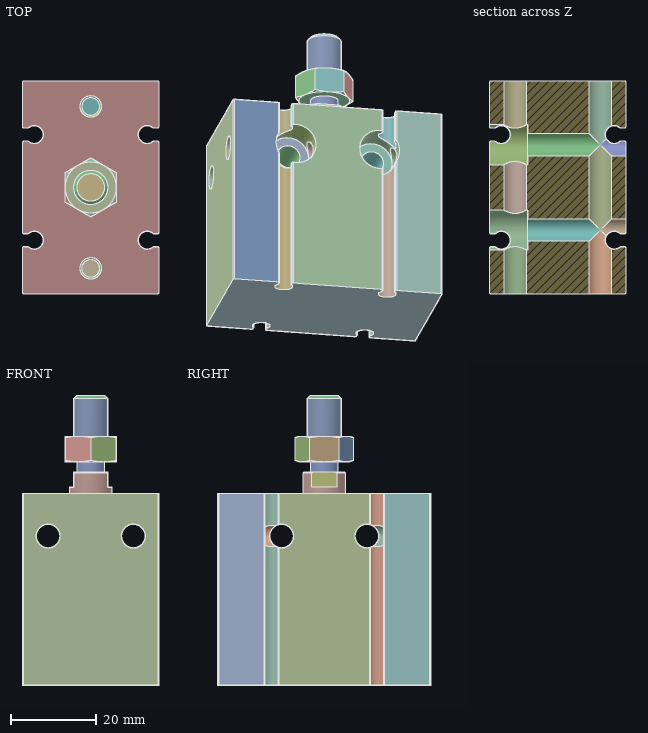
import cadquery as cq
import math

OVERALL_HEIGHT = 68.0

BODY_X = 32.0
BODY_Y = 50.0
BODY_Z = 45.0
EDGE_CHAMFER = 0.3

SLOT_Y = 12.4
SLOT_ROUND_DIA = 4.15
SLOT_ROUND_INSET = 2.8
SLOT_NECK_WIDTH = 3.0

CROSS_HOLE_DIA = 5.5
CROSS_HOLE_OFFSET = 10.0
CROSS_HOLE_DROP = CROSS_HOLE_OFFSET
COUNTERBORE_DIA = 9.5
COUNTERBORE_DEPTH = 9.0

TAPPED_DIA = 4.15
TAPPED_MOUTH_DIA = 5.0
TAPPED_DEPTH = 10.0
TAPPED_Y = 19.0

ROD_TOP = OVERALL_HEIGHT - BODY_Z
COLLAR_DIA = 10.0
COLLAR_TOP_DIA = 9.5
COLLAR_HEIGHT = 5.0
ACROSS_FLATS = 8.0
FLAT_BOTTOM = 1.5
THREAD_DIA = 8.0
NECK_DIA = 6.45

NUT_SIDES = 6
NUT_FLATS = 12.0
NUT_BOTTOM = 7.4
NUT_HEIGHT = 6.0
NUT_CHAMFER_ANGLE = 20.0


def slot_cutter(side, y):
    """Keyhole slot with chamfered lips on the face at x = side * BODY_X / 2."""
    face_x = BODY_X / 2
    round_x = face_x - SLOT_ROUND_INSET
    half_neck = SLOT_NECK_WIDTH / 2
    half_mouth = half_neck + EDGE_CHAMFER
    neck = (
        cq.Workplane("XY")
        .polyline([
            (side * round_x, y - half_neck),
            (side * (face_x - EDGE_CHAMFER), y - half_neck),
            (side * face_x, y - half_mouth),
            (side * face_x, y + half_mouth),
            (side * (face_x - EDGE_CHAMFER), y + half_neck),
            (side * round_x, y + half_neck),
        ])
        .close()
        .extrude(-BODY_Z)
    )
    channel = cq.Workplane("XY").center(side * round_x, y).circle(SLOT_ROUND_DIA / 2).extrude(-BODY_Z)
    return neck.union(channel)


def cross_hole_x(y):
    """Through hole along X, counterbored from the -X face."""
    start = cq.Workplane("YZ", origin=(-BODY_X / 2, y, -CROSS_HOLE_DROP))
    counterbore = start.circle(COUNTERBORE_DIA / 2).extrude(COUNTERBORE_DEPTH)
    return start.circle(CROSS_HOLE_DIA / 2).extrude(BODY_X).union(counterbore)


def cross_hole_y(x):
    """Plain through hole along Y."""
    start = cq.Workplane("XZ", origin=(x, BODY_Y / 2, -CROSS_HOLE_DROP))
    return start.circle(CROSS_HOLE_DIA / 2).extrude(BODY_Y)


def tapped_hole(y):
    """Blind hole in the top face with a 45 degree countersunk mouth."""
    hole_radius = TAPPED_DIA / 2
    mouth_radius = TAPPED_MOUTH_DIA / 2
    return (
        cq.Workplane("XZ")
        .polyline([
            (0, 0),
            (mouth_radius, 0),
            (hole_radius, hole_radius - mouth_radius),
            (hole_radius, -TAPPED_DEPTH),
            (0, -TAPPED_DEPTH),
        ])
        .close()
        .revolve(360, (0, 0, 0), (0, 1, 0))
        .translate((0, y, 0))
    )


def make_housing():
    body = cq.Workplane("XY").rect(BODY_X, BODY_Y).extrude(-BODY_Z)
    body = body.edges("|Z").chamfer(EDGE_CHAMFER)
    for side in (-1, 1):
        body = body.cut(slot_cutter(-1, side * SLOT_Y))
        body = body.cut(slot_cutter(1, side * SLOT_Y))
        body = body.cut(cross_hole_x(side * CROSS_HOLE_OFFSET))
        body = body.cut(cross_hole_y(side * CROSS_HOLE_OFFSET))
        body = body.cut(tapped_hole(side * TAPPED_Y))
    return body


def rod_shaft():
    """Stepped round shaft: collar, neck and threaded end."""
    collar_radius = COLLAR_DIA / 2
    collar_top_radius = COLLAR_TOP_DIA / 2
    neck_radius = NECK_DIA / 2
    thread_radius = THREAD_DIA / 2
    thread_chamfer = thread_radius - neck_radius
    return (
        cq.Workplane("XZ")
        .polyline([
            (0, 0),
            (collar_radius, 0),
            (collar_radius, COLLAR_HEIGHT - (collar_radius - collar_top_radius)),
            (collar_top_radius, COLLAR_HEIGHT),
            (neck_radius, COLLAR_HEIGHT),
            (neck_radius, NUT_BOTTOM),
            (thread_radius, NUT_BOTTOM),
            (thread_radius, ROD_TOP - thread_chamfer),
            (neck_radius, ROD_TOP),
            (0, ROD_TOP),
        ])
        .close()
        .revolve(360, (0, 0, 0), (0, 1, 0))
    )


def wrench_flat(side):
    """Cutter for the flat on one X side of the collar."""
    cutter_size = COLLAR_DIA
    return (
        cq.Workplane("XY", origin=(side * (ACROSS_FLATS + cutter_size) / 2, 0, FLAT_BOTTOM))
        .rect(cutter_size, cutter_size)
        .extrude(COLLAR_HEIGHT - FLAT_BOTTOM)
    )


def nut():
    """Hexagon with corners on the Y axis, chamfered by a cone at both ends."""
    face_radius = NUT_FLATS / 2
    corner_radius = face_radius / math.cos(math.pi / NUT_SIDES)
    cone_radius = NUT_FLATS
    cone_height = (cone_radius - face_radius) * math.tan(math.radians(NUT_CHAMFER_ANGLE))
    nut_top = NUT_BOTTOM + NUT_HEIGHT
    hexagon = (
        cq.Workplane("XY", origin=(0, 0, NUT_BOTTOM))
        .polygon(NUT_SIDES, 2 * corner_radius)
        .extrude(NUT_HEIGHT)
        .rotate((0, 0, 0), (0, 0, 1), 90)
    )
    envelope = (
        cq.Workplane("XZ")
        .polyline([
            (0, NUT_BOTTOM),
            (face_radius, NUT_BOTTOM),
            (cone_radius, NUT_BOTTOM + cone_height),
            (cone_radius, nut_top - cone_height),
            (face_radius, nut_top),
            (0, nut_top),
        ])
        .close()
        .revolve(360, (0, 0, 0), (0, 1, 0))
    )
    return hexagon.intersect(envelope)


def make_rod():
    """Rod standing on the top face of the housing, with its nut."""
    rod = rod_shaft()
    for side in (-1, 1):
        rod = rod.cut(wrench_flat(side))
    return rod.union(nut())


housing = make_housing()
rod = make_rod()

result = cq.Compound.makeCompound([housing.solids().val(), rod.solids().val()])